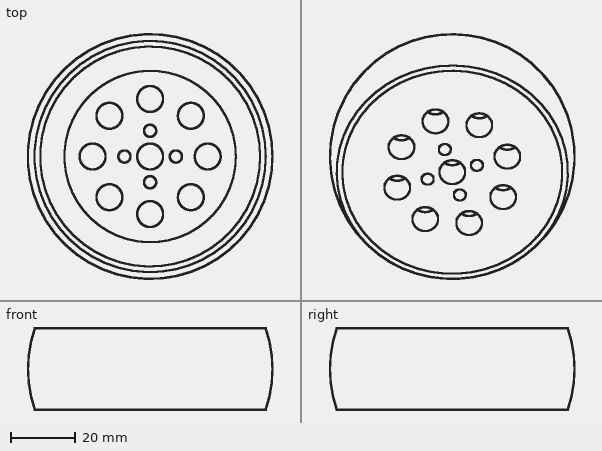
import cadquery as cq

wheel_radius = 38.0
wheel_width = 25.3
shoulder_radius = 35.9

hub_radius = 34.1
recess_radius = 26.6
recess_depth = 9.95
web_thickness = wheel_width - recess_depth

large_hole_diameter = 8.0
large_hole_count = 8
large_hole_circle_radius = 17.9
small_hole_diameter = 3.7
small_hole_count = 4
small_hole_circle_radius = 8.0

half_width = wheel_width / 2


def web_holes(diameter, circle_radius, count):
    """Cylinders through the web, evenly spaced on a circle."""
    return (
        cq.Workplane("XY")
        .workplane(offset=-half_width)
        .polarArray(circle_radius, 0, 360, count)
        .circle(diameter / 2)
        .extrude(web_thickness)
    )


def make_hub():
    """Rim with a thick web, flush with the lower face and recessed from the upper one."""
    rim = (
        cq.Workplane("XY")
        .workplane(offset=-half_width)
        .circle(hub_radius)
        .circle(recess_radius)
        .extrude(wheel_width)
    )
    web = (
        cq.Workplane("XY")
        .workplane(offset=-half_width)
        .circle(recess_radius)
        .circle(large_hole_diameter / 2)
        .extrude(web_thickness)
    )
    large_holes = web_holes(large_hole_diameter, large_hole_circle_radius, large_hole_count)
    small_holes = web_holes(small_hole_diameter, small_hole_circle_radius, small_hole_count)
    return rim.union(web.cut(large_holes).cut(small_holes))


def make_tyre():
    """Crowned ring around the hub, its tread an arc in section."""
    return (
        cq.Workplane("XZ")
        .moveTo(hub_radius, -half_width)
        .lineTo(shoulder_radius, -half_width)
        .threePointArc((wheel_radius, 0), (shoulder_radius, half_width))
        .lineTo(hub_radius, half_width)
        .close()
        .revolve(360, (0, 0, 0), (0, 1, 0))
    )


hub = make_hub()
tyre = make_tyre()

result = cq.Compound.makeCompound([hub.val(), tyre.val()])